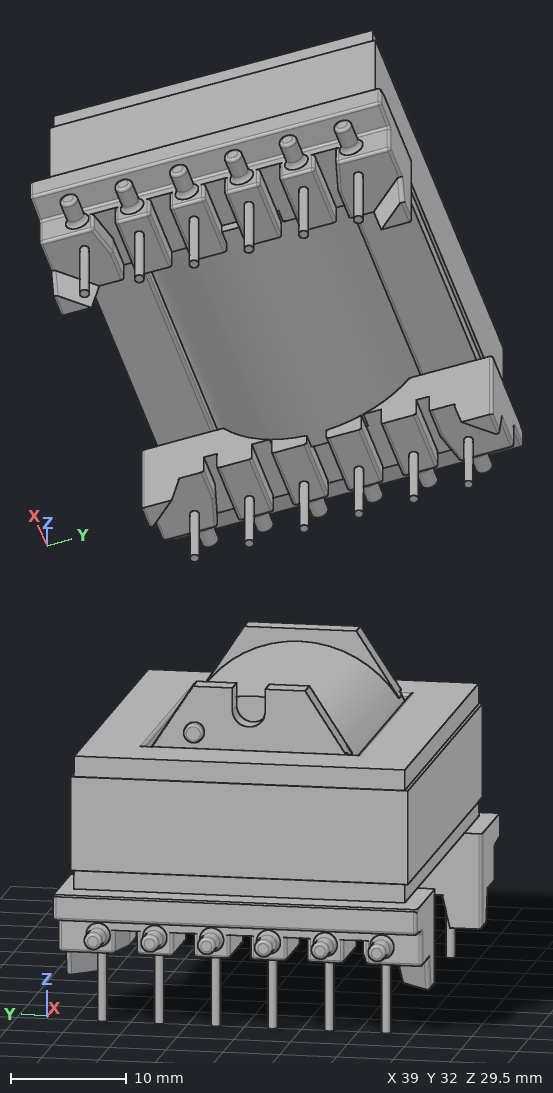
import cadquery as cq
CORE_LENGTH = 34.48
CORE_WIDTH = 29.1
CORE_HALF_HEIGHT = 5.9
TAPE_LENGTH = 34.8
TAPE_WIDTH = 29.68
TAPE_HEIGHT = 8.3
TAPE_CENTER_Z = -0.08
WINDOW_LENGTH = 24.35
WINDOW_WIDTH = 18.8
WINDOW_FILLET = 0.27

WINDING_DIAMETER = 20.8
WINDING_RADIUS = WINDING_DIAMETER / 2

SEAT_GAP = 0.1
SEAT_Z = CORE_HALF_HEIGHT + SEAT_GAP

PLATE_INNER_X = 10.9
PLATE_OUTER_X = 12.87
PLATE_TOP_Z = 11.5
PLATE_TOP_HALF_WIDTH = 4.95
PLATE_SEAT_HALF_WIDTH = 8.55
PLATE_ROOT_HALF_WIDTH = 8.75
SLOT_WIDTH = 2.9
SLOT_CENTER_Z = 9.55

STUD_DIAMETER = 1.7
STUD_HEIGHT = 0.78
STUD_Y = 4.75
STUD_Z = 7.5
STUD_FILLET = 0.25

RAIL_OUTER_X = 19.5
RAIL_WIDTH = 32.0
LIP_BEVEL_RUN = 0.3
LIP_BEVEL_DROP = 0.1
LIP_EDGE_Z = -8.23
LIP_ROOT_Z = -8.5
BLOCK_OUTER_X = 16.93
BLOCK_BOTTOM_Z = -11.6
LEG_TOP_X = 14.05
LEG_FOOT_X = 13.4
LEG_FOOT_Z = -14.45
LEG_PLAN_SLOPE = 0.9
RAIL_FILLET = 0.27
LIP_ROOT_FILLET = 0.25

TERMINAL_COUNT = 6
TERMINAL_PITCH = 5.0
BLOCK_WIDTH = 3.2
NOTCH_TOP_Z = -9.48
END_BLOCK_INNER_Y = 10.25
SPLAY_WIDTH = 0.8
SPLAY_DEPTH = 3.05
POST_DIAMETER = 1.55
POST_Z = -9.95
POST_TIP_FILLET = 0.3
POST_ROOT_FLARE = 0.27
POST_ROOT_LENGTH = 0.62
PIN_DIAMETER = 0.8
PIN_X = 14.98
PIN_TIP_Z = -17.98

TERMINAL_YS = [(i - (TERMINAL_COUNT - 1) / 2) * TERMINAL_PITCH for i in range(TERMINAL_COUNT)]


def box_between(x_range, y_range, z_range):
    """Axis-aligned box given by its limits."""
    lengths = [high - low for low, high in (x_range, y_range, z_range)]
    return cq.Workplane("XY").box(*lengths, centered=False).translate((x_range[0], y_range[0], z_range[0]))


def make_core():
    ring = cq.Workplane("XY").box(CORE_LENGTH, CORE_WIDTH, 2 * CORE_HALF_HEIGHT)
    tape = cq.Workplane("XY").box(TAPE_LENGTH, TAPE_WIDTH, TAPE_HEIGHT).translate((0, 0, TAPE_CENTER_Z))
    window = cq.Workplane("XY").box(WINDOW_LENGTH, WINDOW_WIDTH, 2 * CORE_HALF_HEIGHT)
    core = ring.union(tape).cut(window)
    half_sizes = (WINDOW_LENGTH / 2, WINDOW_WIDTH / 2, CORE_HALF_HEIGHT)
    corner = tuple(half_size + WINDOW_FILLET for half_size in half_sizes)
    around_window = cq.selectors.BoxSelector(tuple(-value for value in corner), corner)
    return core.faces(">Z or <Z").edges(around_window).fillet(WINDOW_FILLET)


def make_winding():
    cylinder = cq.Workplane("YZ").circle(WINDING_RADIUS).extrude(WINDOW_LENGTH / 2, both=True)
    return cylinder.intersect(cq.Workplane("XY").box(WINDOW_LENGTH, WINDOW_WIDTH, WINDING_DIAMETER))


def make_end_plate():
    """Plate at the -X end; its sloped sides run on down to meet the winding."""
    flank_run = (PLATE_SEAT_HALF_WIDTH - PLATE_TOP_HALF_WIDTH) / (PLATE_TOP_Z - SEAT_Z)
    root_z = PLATE_TOP_Z - (PLATE_ROOT_HALF_WIDTH - PLATE_TOP_HALF_WIDTH) / flank_run
    trapezoid = [
        (-PLATE_ROOT_HALF_WIDTH, root_z),
        (PLATE_ROOT_HALF_WIDTH, root_z),
        (PLATE_TOP_HALF_WIDTH, PLATE_TOP_Z),
        (-PLATE_TOP_HALF_WIDTH, PLATE_TOP_Z),
    ]
    plate = cq.Workplane("YZ", origin=(-PLATE_OUTER_X, 0, 0)).polyline(trapezoid).close()
    plate = plate.extrude(PLATE_OUTER_X - PLATE_INNER_X)
    overhang_relief = box_between(
        (-PLATE_OUTER_X, -WINDOW_LENGTH / 2),
        (-PLATE_ROOT_HALF_WIDTH, PLATE_ROOT_HALF_WIDTH),
        (root_z, SEAT_Z),
    )
    return plate.cut(overhang_relief)


def make_plate_slot():
    """Round-bottomed slot, open at the top, through the -X end plate."""
    depth = PLATE_OUTER_X - PLATE_INNER_X
    round_end = cq.Workplane("YZ", origin=(-PLATE_OUTER_X, 0, SLOT_CENTER_Z)).circle(SLOT_WIDTH / 2)
    round_end = round_end.extrude(depth)
    straight = box_between(
        (-PLATE_OUTER_X, -PLATE_INNER_X), (-SLOT_WIDTH / 2, SLOT_WIDTH / 2), (SLOT_CENTER_Z, PLATE_TOP_Z)
    )
    return round_end.union(straight)


def make_stud():
    stud = cq.Workplane("YZ", origin=(-PLATE_OUTER_X, STUD_Y, STUD_Z)).circle(STUD_DIAMETER / 2)
    return stud.extrude(-STUD_HEIGHT).faces("<X").edges().fillet(STUD_FILLET)


def make_rail_beam():
    """Lipped beam of the -X rail, still without legs and notches."""
    profile = [
        (-PLATE_INNER_X, -SEAT_Z),
        (-RAIL_OUTER_X + LIP_BEVEL_RUN, -SEAT_Z),
        (-RAIL_OUTER_X, -SEAT_Z - LIP_BEVEL_DROP),
        (-RAIL_OUTER_X, LIP_EDGE_Z),
        (-BLOCK_OUTER_X, LIP_ROOT_Z),
        (-BLOCK_OUTER_X, BLOCK_BOTTOM_Z),
        (-PLATE_INNER_X, BLOCK_BOTTOM_Z),
    ]
    beam = cq.Workplane("XZ").polyline(profile).close().extrude(RAIL_WIDTH / 2, both=True)
    lip_root = cq.selectors.NearestToPointSelector((-BLOCK_OUTER_X, 0, LIP_ROOT_Z))
    lip_edge = cq.selectors.NearestToPointSelector((-RAIL_OUTER_X, 0, LIP_EDGE_Z))
    return beam.edges(lip_root).fillet(LIP_ROOT_FILLET).edges(lip_edge).fillet(RAIL_FILLET)


def leg_section(outer_x):
    """Corners of the leg's right-angled triangle in plan, for the outer leg at +Y."""
    outer_y = RAIL_WIDTH / 2
    run = outer_x - PLATE_INNER_X
    return [(-outer_x, outer_y), (-PLATE_INNER_X, outer_y), (-PLATE_INNER_X, outer_y - run / LEG_PLAN_SLOPE)]


def make_leg():
    """Leg at +Y: triangular in plan and tapering towards its foot."""
    leg = cq.Workplane("XY", origin=(0, 0, BLOCK_BOTTOM_Z)).polyline(leg_section(LEG_TOP_X)).close()
    leg = leg.workplane(offset=LEG_FOOT_Z - BLOCK_BOTTOM_Z).polyline(leg_section(LEG_FOOT_X)).close()
    return leg.loft(ruled=True)


def make_notch(y_low, y_high):
    return box_between((-RAIL_OUTER_X, -PLATE_INNER_X), (y_low, y_high), (LEG_FOOT_Z, NOTCH_TOP_Z))


def make_end_notch():
    """Notch beside the +Y end block, whose wall is splayed towards -X."""
    low_y = TERMINAL_YS[-2] + BLOCK_WIDTH / 2
    outline = [
        (-BLOCK_OUTER_X, low_y),
        (-PLATE_INNER_X, low_y),
        (-PLATE_INNER_X, END_BLOCK_INNER_Y),
        (-BLOCK_OUTER_X + SPLAY_DEPTH, END_BLOCK_INNER_Y),
        (-BLOCK_OUTER_X, END_BLOCK_INNER_Y + SPLAY_WIDTH),
    ]
    notch = cq.Workplane("XY", origin=(0, 0, NOTCH_TOP_Z)).polyline(outline).close()
    return notch.extrude(LEG_FOOT_Z - NOTCH_TOP_Z)


def cut_notches(rail):
    half_block = BLOCK_WIDTH / 2
    for y_low, y_high in zip(TERMINAL_YS[1:-2], TERMINAL_YS[2:-1]):
        rail = rail.cut(make_notch(y_low + half_block, y_high - half_block))
    end_notch = make_end_notch()
    return rail.cut(end_notch).cut(end_notch.mirror("XZ"))


def round_blocks(rail):
    """Round the -X corners and the lower edges of the terminal blocks."""
    margin = RAIL_FILLET / 10
    end_y = RAIL_WIDTH / 2 - margin
    splay_y = END_BLOCK_INNER_Y + SPLAY_WIDTH + margin
    outer_edges = cq.selectors.BoxSelector(
        (-BLOCK_OUTER_X - margin, -end_y, BLOCK_BOTTOM_Z - margin),
        (-BLOCK_OUTER_X + margin, end_y, NOTCH_TOP_Z - margin),
    )
    lower_side_edges = cq.selectors.BoxSelector(
        (-BLOCK_OUTER_X + margin, -splay_y, BLOCK_BOTTOM_Z - margin),
        (-PLATE_INNER_X - margin, splay_y, BLOCK_BOTTOM_Z + margin),
    )
    return rail.edges(outer_edges + lower_side_edges).fillet(RAIL_FILLET)


def round_rail_ends(rail):
    """Round the outline of both Y end faces, except along the flat top."""
    return rail.faces("<Y or >Y").edges("not(>Z)").fillet(RAIL_FILLET)


def make_rail():
    leg = make_leg()
    rail = make_rail_beam().union(leg).union(leg.mirror("XZ"))
    return round_rail_ends(round_blocks(cut_notches(rail)))


def make_post(y):
    """Wire-wrap post along X with a rounded tip and a concave flare at its root."""
    radius = POST_DIAMETER / 2
    length = RAIL_OUTER_X - BLOCK_OUTER_X
    half_section = (
        cq.Workplane("XY")
        .moveTo(length, 0)
        .lineTo(length, radius)
        .lineTo(POST_ROOT_LENGTH, radius)
        .tangentArcPoint((0, radius + POST_ROOT_FLARE), relative=False)
        .lineTo(0, 0)
        .close()
    )
    post = half_section.revolve(360, (0, 0, 0), (1, 0, 0)).faces(">X").edges().fillet(POST_TIP_FILLET)
    return post.rotate((0, 0, 0), (0, 0, 1), 180).translate((-BLOCK_OUTER_X, y, POST_Z))


def make_pin(y):
    pin = cq.Workplane("XY", origin=(-PIN_X, y, PIN_TIP_Z)).circle(PIN_DIAMETER / 2)
    return pin.extrude(NOTCH_TOP_Z - PIN_TIP_Z)


def make_bobbin():
    """Bobbin and winding as one body, with the slot and stud only at the -X end."""
    end = make_end_plate().union(make_rail())
    for y in TERMINAL_YS:
        end = end.union(make_post(y)).union(make_pin(y))
    bobbin = make_winding().union(end).union(end.mirror("YZ"))
    return bobbin.cut(make_plate_slot()).union(make_stud())


core = make_core()
bobbin = make_bobbin()
result = cq.Compound.makeCompound([core.val(), bobbin.val()])